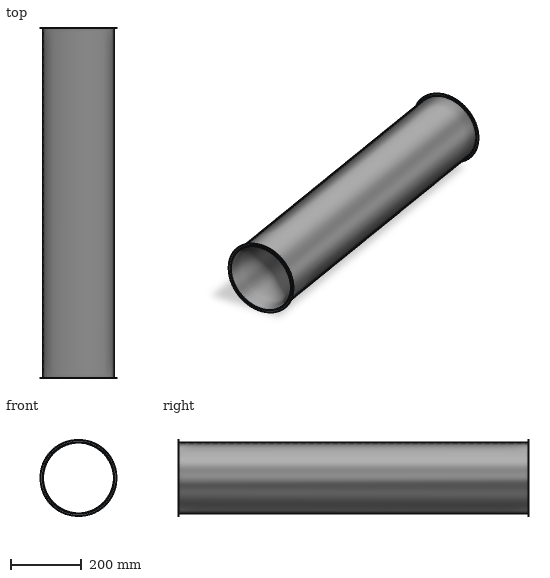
import cadquery as cq

length = 988.0
bore_diameter = 199.0
tube_diameter = 203.0
flange_diameter = 215.0
wall = (tube_diameter - bore_diameter) / 2
flange_thickness = wall


def cylinder_along_y(diameter, start, height):
    """Solid cylinder on the Y axis, running from start toward +Y."""
    plane = cq.Plane(origin=(0, start, 0), xDir=(1, 0, 0), normal=(0, 1, 0))
    return cq.Workplane(plane).circle(diameter / 2).extrude(height)


body = cylinder_along_y(tube_diameter, -length / 2, length)
for flange_start in (-length / 2, length / 2 - flange_thickness):
    body = body.union(cylinder_along_y(flange_diameter, flange_start, flange_thickness))

result = body.cut(cylinder_along_y(bore_diameter, -length / 2, length))